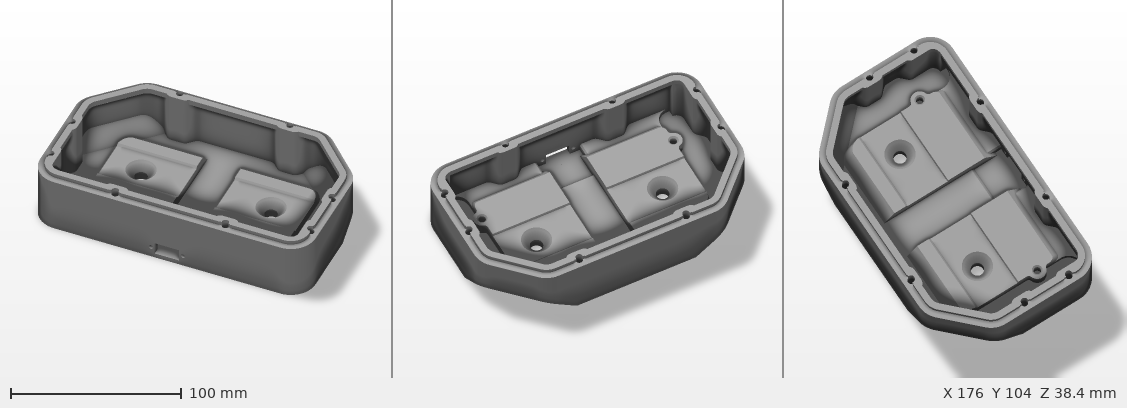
import cadquery as cq
import math

length = 176.0
width = 104.0
height = 38.4
half_length = length / 2
half_width = width / 2

corner_radius = 15.7
corner_cut = 30.1
wall = 4.0
lip_height = 2.6
collar_depth = 3.5
collar_inset = 2 * wall
shoulder_z = height - lip_height
collar_z = height - collar_depth

floor_z = 5.0
channel_floor_z = 3.0
channel_half_width = 14.3
channel_ramp_top_y = -26.0
channel_ramp_run = 2.0
rear_slope_height = 13.2

rim_hole_diameter = 4.4
rim_hole_inset = 5.0
rim_hole_x = 35.2
rim_hole_rear_y = -0.9
rim_hole_front_y = -31.9
post_reach = 9.7
post_face_width = 7.0
post_radius = 4.4
front_corner_radius = 5.0
lip_notch_width = 6.9
lip_notch_depth = 0.4

pad_inner_x = 12.1
pad_outer_x = 63.0
pad_top_z = 12.0
pad_rear_y = 27.8
pad_front_y = -35.0
recess_rear_y = 19.9
recess_front_y = -9.7
recess_depth = 1.4
recess_rear_run = 1.4
recess_front_run = 0.5
pad_rear_radius = 7.0
pad_front_radius = 3.0

ledge_z = 8.1
ledge_chamfer = 1.0
ledge_flare = 8.8

drain_x = 41.5
drain_y = 5.0
drain_diameter = 8.0
drain_sink_diameter = 18.3

boss_y = -22.9
boss_radius = 5.5
boss_fillet = 2.3
boss_hole_diameter = 4.4
boss_sink_diameter = 6.3
boss_hole_depth = 7.0

slot_width = 15.7
slot_height = 8.0
slot_hole_x = 10.2
slot_hole_z = 7.2
slot_hole_diameter = 2.6

DIAGONAL = math.sqrt(2)


def half_prism(inset, bottom_z, top_z):
    """Right half of the tray outline, moved inward by inset."""
    side_x = half_length - inset
    end_y = half_width - inset
    diagonal_sum = half_length + half_width - corner_cut - inset * DIAGONAL
    outline = [
        (0, -end_y),
        (side_x, -end_y),
        (side_x, diagonal_sum - side_x),
        (diagonal_sum - end_y, end_y),
        (0, end_y),
    ]
    prism = cq.Workplane("XY").workplane(offset=bottom_z).polyline(outline).close().extrude(top_z - bottom_z)
    corners = cq.selectors.BoxSelector((corner_radius, -width, -height), (length, width, 2 * height))
    return prism.edges("|Z").edges(corners).fillet(corner_radius - inset)


def rear_corner_wedge(inset):
    """Everything outside the 45 degree slope under the rear corner, moved inward by inset."""
    face_distance = (half_length + half_width - corner_cut) / DIAGONAL
    start = face_distance - rear_slope_height - inset * DIAGONAL
    diagonal_plane = cq.Plane(origin=(0, 0, 0), xDir=(1, 1, 0), normal=(1, -1, 0))
    wedge_profile = [(start, 0), (start + height, 0), (start + height, height)]
    return cq.Workplane(diagonal_plane).polyline(wedge_profile).close().extrude(half_length, both=True)


def post():
    """Post pointing to +Y from a wall whose outer face lies on Y = 0, centred on X = 0.

    Its flanks rise at 45 degrees, blended into the wall and into the inner face by equal arcs.
    """
    arc_run = post_radius * math.sin(math.pi / 4)
    arc_rise = post_radius - arc_run
    mid_run = post_radius * math.sin(math.pi / 8)
    mid_rise = post_radius * (1 - math.cos(math.pi / 8))
    half_face = post_face_width / 2
    shoulder = half_face + arc_run
    flank_run = post_reach - wall - 2 * arc_rise
    foot = shoulder + flank_run
    root = foot + arc_run
    profile = (
        cq.Workplane("XY")
        .moveTo(-root, 0)
        .lineTo(-root, wall)
        .threePointArc((-root + mid_run, wall + mid_rise), (-foot, wall + arc_rise))
        .lineTo(-shoulder, post_reach - arc_rise)
        .threePointArc((-half_face - mid_run, post_reach - mid_rise), (-half_face, post_reach))
        .lineTo(half_face, post_reach)
        .threePointArc((half_face + mid_run, post_reach - mid_rise), (shoulder, post_reach - arc_rise))
        .lineTo(foot, wall + arc_rise)
        .threePointArc((root - mid_run, wall + mid_rise), (root, wall))
        .lineTo(root, 0)
        .close()
    )
    return profile.extrude(height)


def front_corner_post():
    """Joins the front side post to the front wall, with a concave inner corner."""
    face_x = half_length - post_reach
    face_y = -half_width + collar_inset
    arc_x = face_x - front_corner_radius
    arc_y = face_y + front_corner_radius
    arc_reach = front_corner_radius * math.sin(math.pi / 4)
    return (
        cq.Workplane("XY")
        .moveTo(half_length, rim_hole_front_y)
        .lineTo(face_x, rim_hole_front_y)
        .lineTo(face_x, arc_y)
        .threePointArc((arc_x + arc_reach, arc_y - arc_reach), (arc_x, face_y))
        .lineTo(arc_x, -half_width)
        .lineTo(half_length, -half_width)
        .close()
        .extrude(height)
    )


def all_posts():
    posts = front_corner_post()
    posts = posts.union(post().translate((rim_hole_x, -half_width, 0)))
    posts = posts.union(post().rotate((0, 0, 0), (0, 0, 1), 180).translate((rim_hole_x, half_width, 0)))
    for y in (rim_hole_rear_y, rim_hole_front_y):
        posts = posts.union(post().rotate((0, 0, 0), (0, 0, 1), 90).translate((half_length, y, 0)))
    return posts


def shell():
    """Outer body with its lip, hollowed down to the floor."""
    posts = all_posts()
    body = half_prism(0, 0, shoulder_z).cut(rear_corner_wedge(0))
    body = body.union(half_prism(wall, shoulder_z, height))
    cavity = half_prism(wall, floor_z, collar_z).cut(rear_corner_wedge(wall)).cut(posts)
    opening = half_prism(collar_inset, collar_z, height).cut(posts)
    return body.cut(cavity).cut(opening)


def channel():
    """Lowered front floor, reached by a ramp."""
    front_y = -half_width + wall
    profile = [
        (front_y, floor_z),
        (front_y, channel_floor_z),
        (channel_ramp_top_y - channel_ramp_run, channel_floor_z),
        (channel_ramp_top_y, floor_z),
    ]
    return cq.Workplane("YZ").polyline(profile).close().extrude(channel_half_width)


def pad():
    """Raised pad with sloped ends and a shallow recess across its top."""
    drop = pad_top_z - channel_floor_z
    recess_z = pad_top_z - recess_depth
    profile = [
        (pad_front_y - drop, channel_floor_z),
        (pad_front_y, pad_top_z),
        (recess_front_y, pad_top_z),
        (recess_front_y + recess_front_run, recess_z),
        (recess_rear_y - recess_rear_run, recess_z),
        (recess_rear_y, pad_top_z),
        (pad_rear_y, pad_top_z),
        (pad_rear_y + drop, channel_floor_z),
    ]
    block = (
        cq.Workplane("YZ")
        .workplane(offset=pad_inner_x)
        .polyline(profile)
        .close()
        .extrude(pad_outer_x - pad_inner_x)
    )
    slope_mid_z = pad_top_z - drop / 2
    rear_edge = cq.selectors.NearestToPointSelector((pad_outer_x, pad_rear_y + drop / 2, slope_mid_z))
    front_edge = cq.selectors.NearestToPointSelector((pad_outer_x, pad_front_y - drop / 2, slope_mid_z))
    block = block.edges(rear_edge).fillet(pad_rear_radius)
    return block.edges(front_edge).fillet(pad_front_radius)


def boss():
    """Round boss on the side of the pad, blended into it by concave fillets."""
    reach = math.sqrt(boss_radius**2 + 2 * boss_radius * boss_fillet)
    centre_share = boss_radius / (boss_radius + boss_fillet)
    tangent_x = pad_outer_x + boss_fillet * centre_share
    tangent_dy = reach * centre_share
    bisector = math.atan2(reach, boss_fillet) / 2
    fillet_mid_x = pad_outer_x + boss_fillet * (1 - math.cos(bisector))
    fillet_mid_dy = reach - boss_fillet * math.sin(bisector)
    return (
        cq.Workplane("XY")
        .workplane(offset=floor_z)
        .moveTo(pad_outer_x - boss_radius, boss_y - reach)
        .lineTo(pad_outer_x, boss_y - reach)
        .threePointArc((fillet_mid_x, boss_y - fillet_mid_dy), (tangent_x, boss_y - tangent_dy))
        .threePointArc((pad_outer_x + boss_radius, boss_y), (tangent_x, boss_y + tangent_dy))
        .threePointArc((fillet_mid_x, boss_y + fillet_mid_dy), (pad_outer_x, boss_y + reach))
        .lineTo(pad_outer_x - boss_radius, boss_y + reach)
        .close()
        .extrude(pad_top_z - floor_z)
    )


def ledge():
    """Low step in front of the pad, chamfered beside the channel and flared at the front wall."""
    front_y = -half_width + wall
    flare_mid = ledge_flare * (1 - math.sin(math.pi / 4))
    block = (
        cq.Workplane("XY")
        .workplane(offset=channel_floor_z)
        .moveTo(channel_half_width, pad_front_y)
        .lineTo(channel_half_width, front_y)
        .lineTo(pad_outer_x + ledge_flare, front_y)
        .threePointArc((pad_outer_x + flare_mid, front_y + flare_mid), (pad_outer_x, front_y + ledge_flare))
        .lineTo(pad_outer_x, pad_front_y)
        .close()
        .extrude(ledge_z - channel_floor_z)
    )
    return block.faces("<X").edges(">Z").chamfer(ledge_chamfer)


def rim_holes():
    """Screw holes through the rim, each with a shallow notch in the lip."""
    side_x = half_length - rim_hole_inset
    end_y = half_width - rim_hole_inset
    places = [(rim_hole_x, end_y), (rim_hole_x, -end_y), (side_x, rim_hole_rear_y), (side_x, rim_hole_front_y)]
    holes = cq.Workplane("XY").pushPoints(places).circle(rim_hole_diameter / 2).extrude(height)
    lip_base = cq.Workplane("XY").workplane(offset=shoulder_z)
    end_places = [(rim_hole_x, half_width - wall), (rim_hole_x, wall - half_width)]
    side_places = [(half_length - wall, rim_hole_rear_y), (half_length - wall, rim_hole_front_y)]
    end_notches = lip_base.pushPoints(end_places).rect(lip_notch_width, 2 * lip_notch_depth).extrude(lip_height)
    side_notches = lip_base.pushPoints(side_places).rect(2 * lip_notch_depth, lip_notch_width).extrude(lip_height)
    return holes.union(end_notches).union(side_notches)


def countersunk_hole(x, y, top_z, bottom_z, diameter, sink_diameter):
    """Hole with a 90 degree countersink at its top."""
    sink_depth = (sink_diameter - diameter) / 2
    profile = [
        (0, bottom_z),
        (diameter / 2, bottom_z),
        (diameter / 2, top_z - sink_depth),
        (sink_diameter / 2, top_z),
        (0, top_z),
    ]
    hole = cq.Workplane("XZ").polyline(profile).close().revolve(360, (0, 0, 0), (0, 1, 0))
    return hole.translate((x, y, 0))


def connector_opening():
    """Slot through the front wall with a small screw hole beside it."""
    front_face = cq.Workplane("XZ", origin=(0, -half_width, 0))
    slot_centre_z = channel_floor_z + slot_height / 2
    slot = front_face.center(0, slot_centre_z).rect(slot_width, slot_height).extrude(-wall)
    screw = front_face.center(slot_hole_x, slot_hole_z).circle(slot_hole_diameter / 2).extrude(-wall)
    return slot.union(screw)


def tray_half():
    """Right half of the tray; its flat joint face lies on X = 0."""
    tray = shell().cut(channel()).union(pad()).union(boss()).union(ledge())
    recess_z = pad_top_z - recess_depth
    boss_hole_bottom_z = pad_top_z - boss_hole_depth
    tray = tray.cut(countersunk_hole(drain_x, drain_y, recess_z, 0, drain_diameter, drain_sink_diameter))
    tray = tray.cut(
        countersunk_hole(
            pad_outer_x, boss_y, pad_top_z, boss_hole_bottom_z, boss_hole_diameter, boss_sink_diameter
        )
    )
    return tray.cut(rim_holes()).cut(connector_opening())


right_half = tray_half()
left_half = right_half.mirror("YZ")

result = cq.Compound.makeCompound([*right_half.solids().vals(), *left_half.solids().vals()])